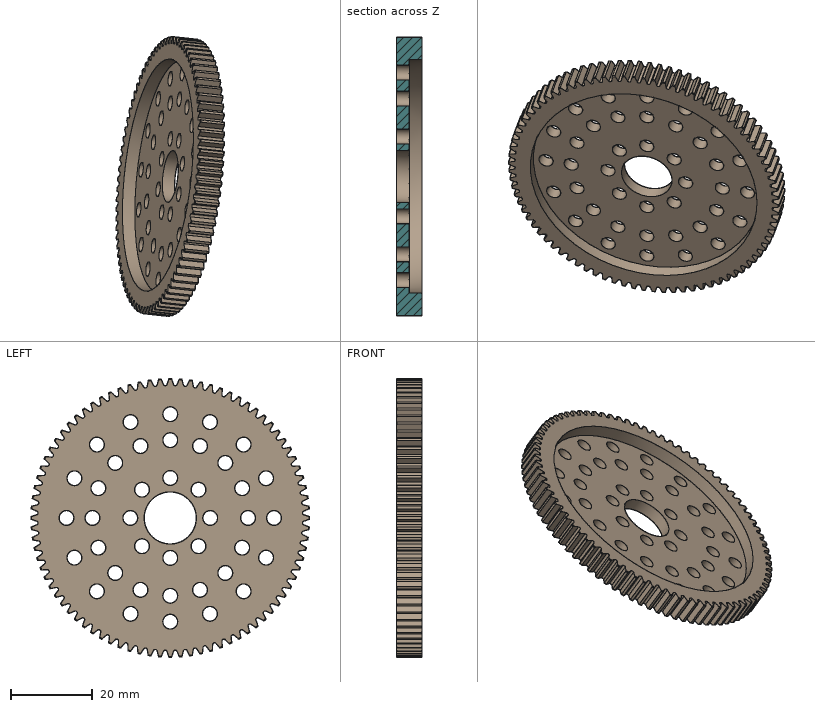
import cadquery as cq
import math

INCH = 25.4
face_width = INCH / 4
web_thickness = INCH / 8
tooth_count = 84
module = INCH / 32
pressure_angle = math.radians(20)
root_depth = 1.15 * module
root_rounding_height = 0.2 * module
tip_chamfer = 0.008 * INCH
bore_diameter = INCH / 2
recess_diameter = 2.25 * INCH
hole_diameter = 0.14 * INCH

hole_circles = [
    (0.77 * INCH, 8),
    (1.5 * INCH, 16),
    (2.0 * INCH, 16),
]

pitch_radius = module * tooth_count / 2
tip_radius = pitch_radius + module
root_radius = pitch_radius - root_depth
base_radius = pitch_radius * math.cos(pressure_angle)
flank_start_radius = root_radius + root_rounding_height
tooth_step = 2 * math.pi / tooth_count

front_x = -face_width / 2
back_x = face_width / 2


def involute(angle):
    return math.tan(angle) - angle


def half_tooth_angle(radius):
    """Half the angle that one tooth spans at the given radius."""
    local_pressure_angle = math.acos(base_radius / radius)
    half_angle_at_pitch = tooth_step / 4
    return half_angle_at_pitch + involute(pressure_angle) - involute(local_pressure_angle)


def polar(radius, angle):
    return (radius * math.cos(angle), radius * math.sin(angle))


def front_plane():
    """Sketch plane on the front face, with its normal along +X."""
    return cq.Workplane("YZ").workplane(offset=front_x)


def toothed_disc():
    """Full-width spur gear disc with one tooth pointing along +Y.

    The flanks are flat between their involute end points at the root and the tip.
    """
    tip_half = half_tooth_angle(tip_radius)
    start_half = half_tooth_angle(flank_start_radius)

    outline = front_plane().moveTo(*polar(flank_start_radius, -start_half))
    for tooth in range(tooth_count):
        centre = tooth * tooth_step
        root_centre = centre + tooth_step / 2
        next_start = centre + tooth_step - start_half
        outline = (
            outline
            .lineTo(*polar(tip_radius, centre - tip_half))
            .threePointArc(polar(tip_radius, centre), polar(tip_radius, centre + tip_half))
            .lineTo(*polar(flank_start_radius, centre + start_half))
            .threePointArc(polar(root_radius, root_centre), polar(flank_start_radius, next_start))
        )
    return outline.close().extrude(face_width)


def tip_chamfer_ring(face_x, inward):
    """Ring that bevels the tooth tips at one face; inward is the X direction into the gear."""
    overshoot = tip_chamfer
    return (
        cq.Workplane("XY")
        .moveTo(face_x + inward * (tip_chamfer + overshoot), tip_radius + overshoot)
        .lineTo(face_x - inward * overshoot, tip_radius + overshoot)
        .lineTo(face_x - inward * overshoot, tip_radius - tip_chamfer - overshoot)
        .close()
        .revolve(360, (0, 0, 0), (1, 0, 0))
    )


def bore():
    return front_plane().circle(bore_diameter / 2).extrude(face_width)


def back_recess():
    """Round pocket in the back face that leaves the web inside the toothed rim."""
    return (
        front_plane()
        .workplane(offset=web_thickness)
        .circle(recess_diameter / 2)
        .extrude(face_width - web_thickness)
    )


def hole_circle(circle_diameter, hole_count):
    """Through holes evenly spaced on one circle, the first along +Y."""
    return (
        front_plane()
        .polarArray(circle_diameter / 2, 0, 360, hole_count)
        .circle(hole_diameter / 2)
        .extrude(face_width)
    )


result = toothed_disc().cut(back_recess()).cut(bore())
for circle_diameter, hole_count in hole_circles:
    result = result.cut(hole_circle(circle_diameter, hole_count))
result = result.cut(tip_chamfer_ring(front_x, 1))
result = result.cut(tip_chamfer_ring(back_x, -1))